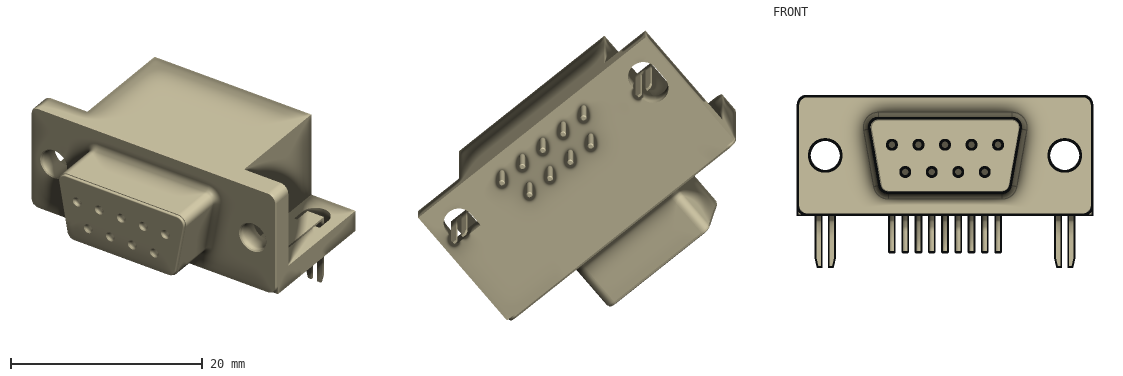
import cadquery as cq
import math


FLANGE_WIDTH = 30.8
HEIGHT = 12.5
BACK_Y = 14.92
FLANGE_BACK_Y = 2.34
BODY_WIDTH = 19.7
WING_HEIGHT = 2.5
CORNER_RADIUS = 1.0

PLATE_THICKNESS = 0.4
PLATE_BEVEL_LENGTH = 0.2
PLATE_BEVEL_INSET = 0.1
SOCKET_LENGTH = 6.02
SHELL_WIDTH = 16.29
SHELL_HEIGHT = 7.9
SHELL_SLANT = math.radians(10)
SHELL_CORNER_RADIUS = 1.0
SHELL_ROOT_RADIUS = 0.59
MIDDLE_Z = HEIGHT / 2

INSERT_STEP = 0.3
INSERT_INSET = 0.1
INSERT_EDGE_RADIUS = 0.13

MOUNT_SPACING = 25.0
MOUNT_X = MOUNT_SPACING / 2
MOUNT_DIAMETER = 3.2
MOUNT_CHAMFER = 0.12
WASHER_DIAMETER = 4.0
WASHER_THICKNESS = 0.2
STRAP_WIDTH = 2.05
STRAP_THICKNESS = 0.25
STRAP_UPRIGHT_TOP = 4.5
STRAP_END_Y = 11.8
FORK_GAP = 0.72
FORK_TOP = 2.0
FORK_BOTTOM = -5.4
FORK_TAPER_LENGTH = 0.9
FORK_TAPER_DEPTH = 0.22

SLOT_WIDTH = 3.2
SLOT_BACK_Y = 13.35
SLOT_STRAIGHT = 1.6

CONTACT_PITCH = 2.77
ROW_SPACING = 2.84
ROW_COUNTS = (5, 4)
UPPER_ROW_Z = 7.36
CONTACT_DIAMETER = 0.85
CONTACT_MOUTH_DIAMETER = 1.07
CONTACT_DEPTH = SOCKET_LENGTH
PIN_DIAMETER = 0.64
PIN_LENGTH = 3.9
PIN_CHAMFER = 0.1
REAR_PIN_Y = 13.13
PIN_EMBED = 1.0


def box(x_middle, width, y_range, z_range):
    """Block centred on x_middle between the given Y and Z limits."""
    y_min, y_max = y_range
    z_min, z_max = z_range
    block = cq.Workplane("XY").box(width, y_max - y_min, z_max - z_min, centered=(True, False, False))
    return block.translate((x_middle, y_min, z_min))


def cylinder_y(x, z, diameter, y_start, length):
    """Cylinder along +Y starting at y_start."""
    axis_start = cq.Vector(x, y_start, z)
    return cq.Workplane(cq.Solid.makeCylinder(diameter / 2, length, axis_start, cq.Vector(0, 1, 0)))


def cone_y(x, z, start_diameter, end_diameter, y_start):
    """45-degree cone along +Y that narrows from start_diameter to end_diameter."""
    depth = (start_diameter - end_diameter) / 2
    axis_start = cq.Vector(x, y_start, z)
    cone = cq.Solid.makeCone(start_diameter / 2, end_diameter / 2, depth, axis_start, cq.Vector(0, 1, 0))
    return cq.Workplane(cone)


def make_housing():
    flange = box(0, FLANGE_WIDTH, (PLATE_THICKNESS, FLANGE_BACK_Y), (0, HEIGHT))
    flange = flange.edges("|Y and >Z").fillet(CORNER_RADIUS)
    body = box(0, BODY_WIDTH, (PLATE_THICKNESS, BACK_Y), (0, HEIGHT))
    wings = box(0, FLANGE_WIDTH, (PLATE_THICKNESS, BACK_Y), (0, WING_HEIGHT))
    return flange.union(body).union(wings)


def d_prism(inset, length):
    """Rounded D-shaped prism from Y = 0 towards the front, every side moved in by inset."""
    half_height = SHELL_HEIGHT / 2 - inset
    middle_half = (SHELL_WIDTH - SHELL_HEIGHT * math.tan(SHELL_SLANT)) / 2 - inset / math.cos(SHELL_SLANT)
    lean = half_height * math.tan(SHELL_SLANT)
    top_half = middle_half + lean
    bottom_half = middle_half - lean
    top_z = MIDDLE_Z + half_height
    bottom_z = MIDDLE_Z - half_height
    outline = [(-top_half, top_z), (top_half, top_z), (bottom_half, bottom_z), (-bottom_half, bottom_z)]
    prism = cq.Workplane("XZ").polyline(outline).close().extrude(length)
    return prism.edges("|Y").fillet(SHELL_CORNER_RADIUS - inset)


def make_plate_and_shell():
    """Metal plate with the D-shaped shell projecting from it."""
    plate = box(0, FLANGE_WIDTH, (0, PLATE_THICKNESS), (0, HEIGHT))
    plate = plate.edges("|Y").fillet(CORNER_RADIUS)
    plate = plate.faces("<Y").edges().chamfer(PLATE_BEVEL_INSET, PLATE_BEVEL_LENGTH)
    joined = plate.union(d_prism(0, SOCKET_LENGTH - INSERT_STEP))

    half_band = PLATE_THICKNESS / 10
    root_band = cq.selectors.BoxSelector(
        (-SHELL_WIDTH / 2, -half_band, MIDDLE_Z - SHELL_HEIGHT / 2 - half_band),
        (SHELL_WIDTH / 2, half_band, MIDDLE_Z + SHELL_HEIGHT / 2 + half_band),
    )
    return joined.edges(root_band).fillet(SHELL_ROOT_RADIUS)


def make_insert():
    insert = d_prism(INSERT_INSET, SOCKET_LENGTH)
    return insert.faces("<Y").edges().fillet(INSERT_EDGE_RADIUS)


def wing_slot(x, round_front):
    """Slot through a wing, round at the back and either round or square at the front."""
    radius = SLOT_WIDTH / 2
    back_centre_y = SLOT_BACK_Y - radius
    front_centre_y = back_centre_y - SLOT_STRAIGHT
    sketch = cq.Workplane("XY").moveTo(x - radius, front_centre_y).lineTo(x - radius, back_centre_y)
    sketch = sketch.threePointArc((x, SLOT_BACK_Y), (x + radius, back_centre_y))
    sketch = sketch.lineTo(x + radius, front_centre_y)
    if round_front:
        sketch = sketch.threePointArc((x, front_centre_y - radius), (x - radius, front_centre_y))
    return sketch.close().extrude(WING_HEIGHT)


def make_strap(x):
    """Grounding strap: washer behind the flange, L-shaped strip and forked board lock."""
    washer = cylinder_y(x, MIDDLE_Z, WASHER_DIAMETER, FLANGE_BACK_Y, WASHER_THICKNESS)
    upright_y = (FLANGE_BACK_Y, FLANGE_BACK_Y + STRAP_THICKNESS)
    upright = box(x, STRAP_WIDTH, upright_y, (WING_HEIGHT, STRAP_UPRIGHT_TOP))
    strap_top = WING_HEIGHT + STRAP_THICKNESS
    strip = box(x, STRAP_WIDTH, (FLANGE_BACK_Y, STRAP_END_Y), (WING_HEIGHT, strap_top))

    half = STRAP_WIDTH / 2
    taper_start = FORK_BOTTOM + FORK_TAPER_LENGTH
    tip_half = half - FORK_TAPER_DEPTH
    outline = [
        (-half, strap_top), (half, strap_top), (half, taper_start),
        (tip_half, FORK_BOTTOM), (-tip_half, FORK_BOTTOM), (-half, taper_start),
    ]
    fork_y = (STRAP_END_Y - STRAP_THICKNESS, STRAP_END_Y)
    fork = cq.Workplane("XZ").polyline(outline).close().extrude(STRAP_THICKNESS)
    fork = fork.translate((x, STRAP_END_Y, 0))
    fork = fork.cut(box(x, FORK_GAP, fork_y, (FORK_BOTTOM, FORK_TOP)))
    return washer.union(upright).union(strip).union(fork)


def mount_hole(x):
    hole = cylinder_y(x, MIDDLE_Z, MOUNT_DIAMETER, 0, FLANGE_BACK_Y + WASHER_THICKNESS)
    mouth = cone_y(x, MIDDLE_Z, MOUNT_DIAMETER + 2 * MOUNT_CHAMFER, MOUNT_DIAMETER, 0)
    return hole.union(mouth)


def contact_hole(x, z):
    hole = cylinder_y(x, z, CONTACT_DIAMETER, -SOCKET_LENGTH, CONTACT_DEPTH)
    mouth = cone_y(x, z, CONTACT_MOUTH_DIAMETER, CONTACT_DIAMETER, -SOCKET_LENGTH)
    return hole.union(mouth)


def solder_pin(x, y):
    pin = cq.Workplane("XY").circle(PIN_DIAMETER / 2).extrude(PIN_LENGTH + PIN_EMBED)
    pin = pin.faces("<Z").edges().chamfer(PIN_CHAMFER)
    return pin.translate((x, y, -PIN_LENGTH))


def build():
    part = make_housing().union(make_plate_and_shell()).union(make_insert())
    for side in (-1, 1):
        x = side * MOUNT_X
        part = part.cut(wing_slot(x, round_front=side < 0))
        part = part.union(make_strap(x)).cut(mount_hole(x))
    for row, count in enumerate(ROW_COUNTS):
        z = UPPER_ROW_Z - row * ROW_SPACING
        pin_y = REAR_PIN_Y - row * ROW_SPACING
        for index in range(count):
            x = (index - (count - 1) / 2) * CONTACT_PITCH
            part = part.cut(contact_hole(x, z)).union(solder_pin(x, pin_y))
    return part


result = build()